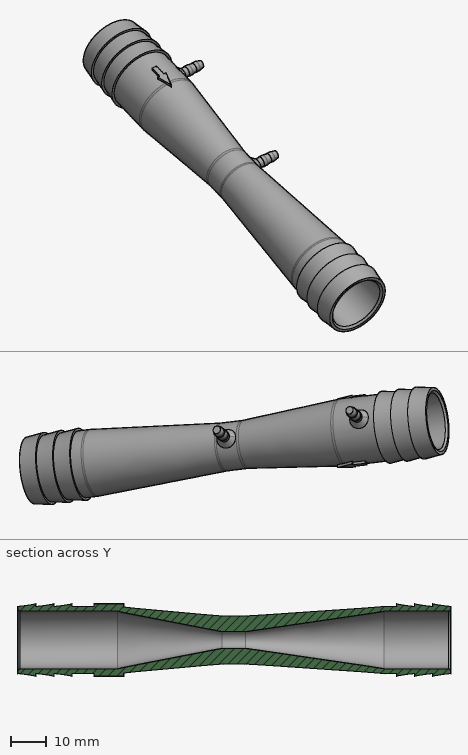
import cadquery as cq
import math

length = 120.6
body_radius = 9.4
throat_radius = 6.8

barb_count = 3
barb_pitch = 5.1
barb_radius = 10.1

inlet_cone_start = 27.9
throat_start = 57.0
throat_end = 63.5
outlet_cone_end = 102.1
blend_radius = 7.5

bore_radius = 8.0
bore_throat_radius = 2.3
mouth_chamfer = 0.6

inlet_port_x = 19.8
throat_port_x = (throat_start + throat_end) / 2
port_height = 7.6
port_root_radius = 1.5
port_cone_radii = (1.1, 1.3)
port_barb_radii = (1.5, 1.6)
port_barb_pitch = 2.5
port_ramp_length = 1.5
port_root_chamfer = 1.3
selection_margin = 0.2

arrow_start = 21.2
arrow_head_start = 24.9
arrow_tip = 29.7
arrow_shaft_half_width = 0.7
arrow_head_half_width = 1.5
arrow_top = barb_radius
arrow_root = 8.7


def blended_corner(sketch, before, corner, after):
    """Draw a line from `before` towards `corner`, then an arc that leads on towards `after`."""
    angle_in = math.atan2(corner[1] - before[1], corner[0] - before[0])
    angle_out = math.atan2(after[1] - corner[1], after[0] - corner[0])
    blend_length = blend_radius * math.tan(abs(angle_out - angle_in) / 2)
    arc_start = (
        corner[0] - blend_length * math.cos(angle_in),
        corner[1] - blend_length * math.sin(angle_in),
    )
    arc_end = (
        corner[0] + blend_length * math.cos(angle_out),
        corner[1] + blend_length * math.sin(angle_out),
    )
    return sketch.lineTo(*arc_start).tangentArcPoint(arc_end, relative=False)


def make_tube():
    """Solid outer body, revolved about X."""
    barbs_length = barb_count * barb_pitch
    sketch = cq.Workplane("XY").moveTo(0, 0).lineTo(0, body_radius)
    for index in range(1, barb_count + 1):
        step_end = index * barb_pitch
        sketch = sketch.lineTo(step_end, barb_radius).lineTo(step_end, body_radius)

    stations = [
        (barbs_length, body_radius),
        (inlet_cone_start, body_radius),
        (throat_start, throat_radius),
        (throat_end, throat_radius),
        (outlet_cone_end, body_radius),
        (length - barbs_length, body_radius),
    ]
    for before, corner, after in zip(stations, stations[1:], stations[2:]):
        sketch = blended_corner(sketch, before, corner, after)

    for index in range(barb_count, 0, -1):
        step_start = length - index * barb_pitch
        sketch = sketch.lineTo(step_start, body_radius).lineTo(step_start, barb_radius)
    sketch = sketch.lineTo(length, body_radius).lineTo(length, 0).close()
    return sketch.revolve(360, (0, 0, 0), (1, 0, 0))


def make_passage():
    """Flow passage: chamfered mouths and two cones meeting at a narrow throat."""
    mouth_radius = bore_radius + mouth_chamfer
    outline = [
        (0, 0),
        (0, mouth_radius),
        (mouth_chamfer, bore_radius),
        (inlet_cone_start, bore_radius),
        (throat_start, bore_throat_radius),
        (throat_end, bore_throat_radius),
        (outlet_cone_end, bore_radius),
        (length - mouth_chamfer, bore_radius),
        (length, mouth_radius),
        (length, 0),
    ]
    return cq.Workplane("XY").polyline(outline).close().revolve(360, (0, 0, 0), (1, 0, 0))


def port_tip(surface_radius):
    """Distance from the tube axis to the tip of a port on a tube of this radius."""
    return surface_radius + port_height


def make_port_stem(x, surface_radius):
    """Plain stem from the tube axis up to the last port barb."""
    stem_top = port_tip(surface_radius) - len(port_barb_radii) * port_barb_pitch
    return cq.Workplane("XZ", origin=(x, 0, 0)).circle(port_root_radius).extrude(-stem_top)


def make_port_barbs(x, surface_radius):
    """Stepped nozzle: each step is a short cone followed by a cylinder."""
    tip = port_tip(surface_radius)
    sketch = cq.Workplane("XY", origin=(x, 0, 0)).moveTo(0, tip)
    for index, (cone, barb) in enumerate(zip(port_cone_radii, port_barb_radii)):
        step_top = tip - index * port_barb_pitch
        step_bottom = step_top - port_barb_pitch
        sketch = (
            sketch.lineTo(cone, step_top)
            .lineTo(barb, step_top - port_ramp_length)
            .lineTo(barb, step_bottom)
        )
    sketch = sketch.lineTo(0, step_bottom).close()
    return sketch.revolve(360, (0, 0, 0), (0, 1, 0))


def add_port(tube, x, surface_radius):
    """Join a stem to the tube, bevel its root and put the barbed nozzle on top."""
    tube = tube.union(make_port_stem(x, surface_radius))
    reach = 2 * port_root_radius
    root_box = cq.selectors.BoxSelector(
        (x - reach, surface_radius / 2, -reach),
        (x + reach, surface_radius + selection_margin, reach),
        boundingbox=True,
    )
    tube = tube.edges(root_box).chamfer(port_root_chamfer)
    return tube.union(make_port_barbs(x, surface_radius))


def make_arrow():
    """Flow arrow on the top of the tube."""
    half_outline = [
        (arrow_start, arrow_shaft_half_width),
        (arrow_head_start, arrow_shaft_half_width),
        (arrow_head_start, arrow_head_half_width),
    ]
    mirrored = [(x, -y) for x, y in reversed(half_outline)]
    return (
        cq.Workplane("XY", origin=(0, 0, arrow_root))
        .polyline(half_outline + [(arrow_tip, 0)] + mirrored)
        .close()
        .extrude(arrow_top - arrow_root)
    )


result = make_tube()
result = add_port(result, inlet_port_x, body_radius)
result = add_port(result, throat_port_x, throat_radius)
arrow = make_arrow()
result = result.union(arrow).union(arrow.mirror("XY"))
result = result.cut(make_passage())